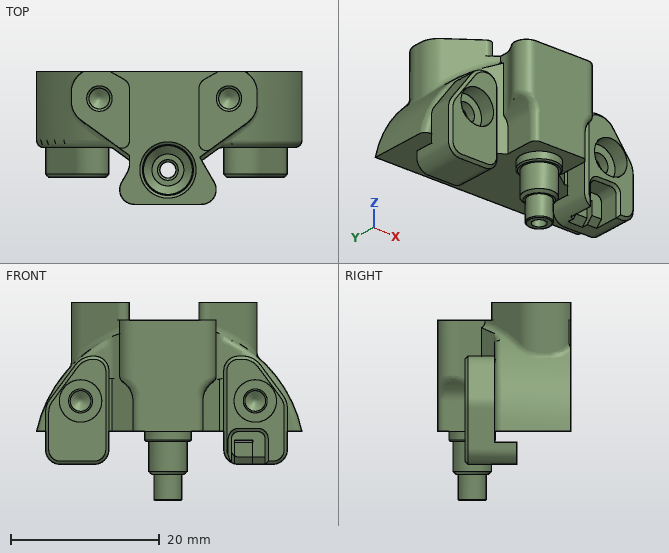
import cadquery as cq
import math

BACK_Y = 13.25
HEAD_FRONT_Y = -4.65
BLOCK_TOP = 14.95
TOWER_TOP = 17.35
FINE_CHAMFER = 0.43
DRILL_POINT_ANGLE = 118

ARCH_CENTRE_X = 0.18
ARCH_HALF_SPAN = 17.85
ARCH_RISE = 14.43
ARCH_FRONT_Y = 3.0
SHOULDER_FRONT_Y = 1.07
ARCH_FILLET = 1.0

TOWER_CENTRE_X = -0.5
TOWER_HALF_SPAN = 12.5
TOWER_INNER = 4.68
TOWER_RADIUS = 3.2
TOWER_REAR_ARC_Y = 10.43
LEFT_FRONT_ARC_Y = 9.3
RIGHT_FRONT_ARC_Y = 8.95
TOWER_REAR_INNER = 7.3
TOWER_BEVEL_Y = 11.8
TOWER_BEVEL_RADIUS = 1.43
TOWER_TIP_RADIUS = 1.0
FLANK_ANGLE = 36
SHOULDER_STEP = 0.55
TOWER_HOLE_OFFSET = 8.7
TOWER_HOLE_Y = 9.6
TOWER_HOLE_DEPTH = 7.15
TOWER_HOLE_CHAMFER = 0.32

HEAD_RADIUS = 2.0
HEAD_HALF_WIDTH = 6.5
HEAD_SIDE_ANGLE = 60
LEFT_NECK_WALL_X = -5.18
LEFT_NECK_RADIUS = 2.5
RELIEF_HALF_WIDTH = 4.7
RELIEF_TOP = 7.15
RELIEF_RADIUS = 3.0
RELIEF_EDGE_FILLET = 1.0
RELIEF_ROUNDED_TO_Y = 0.7

COLLAR_DIAMETER, COLLAR_END, COLLAR_CHAMFER = 6.3, -1.35, 0.2
SHANK_DIAMETER, SHANK_END, SHANK_CHAMFER = 5.2, -5.8, 0.43
TIP_DIAMETER, TIP_END, TIP_CHAMFER = 3.8, -9.3, 0.15

MOUTH_DIAMETER, MOUTH_CHAMFER = 7.57, 0.35
THROAT_DIAMETER, THROAT_TAPER = 6.85, 0.4
BORE_DIAMETER = 6.57
SEAT_DIAMETER, SEAT_Z = 4.3, 1.0
LOWER_MOUTH_DIAMETER, THROUGH_DIAMETER = 2.8, 2.15

PAD_FRONT_Y = -1.0
PAD_THICKNESS = ARCH_FRONT_Y - PAD_FRONT_Y
PAD_TOP, PAD_BOTTOM = 10.15, -4.43
LEFT_PAD_OUTER, LEFT_PAD_INNER = -16.45, -7.93
RIGHT_PAD_OUTER, RIGHT_PAD_INNER = 16.07, 7.5
PAD_SHOULDER_X = 11.57
PAD_SLOPE_ANGLE = 53.5
PAD_SLOPE_RADIUS = 3.0
PAD_CORNER_RADIUS = 2.0
FOOT_LENGTH = 3.0
FOOT_TOP = -1.43
SCREW_X, SCREW_Z = 11.75, 4.1
SCREW_CLEARANCE, SCREW_CORE = 3.2, 2.8
SCREW_DEPTH = 5.7
COUNTERBORE_DIAMETER, COUNTERBORE_DEPTH = 5.7, 2.5

NOTCH_X0, NOTCH_X1, NOTCH_TOP, NOTCH_RADIUS = 8.55, 13.07, 0.0, 1.0
NOTCH_FLOOR_Y = 2.5
SLOT_X0, SLOT_X1, SLOT_TOP = 8.95, 11.4, -1.18
SLOT_FLOOR_Y = 3.5
RECESS_CHAMFER = 1.0

MARGIN = 3.57


def slab_xy(outline, z0, z1):
    """Prism from a closed XY outline between two heights."""
    return outline.extrude(z1 - z0).translate((0, 0, z0))


def box(x0, x1, y0, y1, z0, z1):
    return cq.Workplane("XY").box(x1 - x0, y1 - y0, z1 - z0, centered=False).translate((x0, y0, z0))


def drill(diameter, depth):
    """Blind hole cutter along -Z from the origin, with a conical bottom."""
    radius = diameter / 2
    point = radius / math.tan(math.radians(DRILL_POINT_ANGLE / 2))
    profile = [(0, 0), (radius, 0), (radius, -depth), (0, -depth - point)]
    return cq.Workplane("XZ").polyline(profile).close().revolve(360, (0, 0), (0, 1))


def front_arc_y(side):
    return RIGHT_FRONT_ARC_Y if side > 0 else LEFT_FRONT_ARC_Y


def flank_start(side):
    """Outer end of a tower flank, where it leaves the front arc."""
    angle = math.radians(FLANK_ANGLE)
    from_centre = TOWER_HALF_SPAN - TOWER_RADIUS + TOWER_RADIUS * math.sin(angle)
    return TOWER_CENTRE_X + side * from_centre, front_arc_y(side) - TOWER_RADIUS * math.cos(angle)


def flank_y(side, x, step):
    """Y of a flank at x, with the flank moved out by step."""
    angle = math.radians(FLANK_ANGLE)
    start_x, start_y = flank_start(side)
    return start_y - step / math.cos(angle) - side * (start_x - x) * math.tan(angle)


def head_side_start(side):
    """Front end of the head's sloped side, where it leaves the corner arc."""
    angle = math.radians(HEAD_SIDE_ANGLE)
    x = HEAD_HALF_WIDTH - HEAD_RADIUS + HEAD_RADIUS * math.sin(angle)
    return side * x, HEAD_FRONT_Y + HEAD_RADIUS + HEAD_RADIUS * math.cos(angle)


def right_neck(step):
    """Where the right flank, moved out by step, meets the head's sloped side."""
    head_x, head_y = head_side_start(1)
    head_slope = math.tan(math.radians(HEAD_SIDE_ANGLE))
    flank_slope = math.tan(math.radians(FLANK_ANGLE))
    x = (head_y + head_slope * head_x - flank_y(1, 0, step)) / (head_slope + flank_slope)
    return x, flank_y(1, x, step)


def left_neck_corner():
    """Where the left neck wall meets the head's sloped side, before rounding."""
    head_x, head_y = head_side_start(-1)
    return LEFT_NECK_WALL_X, head_y + (LEFT_NECK_WALL_X - head_x) * math.tan(math.radians(HEAD_SIDE_ANGLE))


def tower_outline(side, inner_x):
    """Tower plan on one side, closed along inner_x."""
    def at(x, y):
        return TOWER_CENTRE_X + side * x, y

    arc_x = TOWER_HALF_SPAN - TOWER_RADIUS
    back = BACK_Y - TOWER_REAR_ARC_Y
    back_x = arc_x + math.sqrt(TOWER_RADIUS**2 - back**2)
    rear = math.asin(back / TOWER_RADIUS) / 2
    front = math.radians(90 - FLANK_ANGLE) / 2
    arc_y = front_arc_y(side)
    tip_y = flank_y(side, TOWER_CENTRE_X + side * inner_x, 0)
    return (
        cq.Workplane("XY")
        .moveTo(*at(TOWER_REAR_INNER, BACK_Y))
        .lineTo(*at(back_x, BACK_Y))
        .threePointArc(
            at(arc_x + TOWER_RADIUS * math.cos(rear), TOWER_REAR_ARC_Y + TOWER_RADIUS * math.sin(rear)),
            at(TOWER_HALF_SPAN, TOWER_REAR_ARC_Y),
        )
        .lineTo(*at(TOWER_HALF_SPAN, arc_y))
        .threePointArc(
            at(arc_x + TOWER_RADIUS * math.cos(front), arc_y - TOWER_RADIUS * math.sin(front)),
            flank_start(side),
        )
        .lineTo(*at(inner_x, tip_y))
        .lineTo(*at(inner_x, TOWER_BEVEL_Y))
        .close()
    )


def tower(side):
    body = slab_xy(tower_outline(side, TOWER_INNER), 0, TOWER_TOP)
    inner_x = TOWER_CENTRE_X + side * TOWER_INNER

    def inner_edge(low_y, high_y):
        return cq.selectors.BoxSelector((inner_x - 0.05, low_y, -0.35), (inner_x + 0.05, high_y, TOWER_TOP + 0.35))

    body = body.edges("|Z").edges(inner_edge(TOWER_BEVEL_Y - 0.35, BACK_Y)).fillet(TOWER_BEVEL_RADIUS)
    return body.edges("|Z").edges(inner_edge(0, TOWER_REAR_ARC_Y)).fillet(TOWER_TIP_RADIUS)


def head_prism(step, outer_points, z0, z1):
    """Prism of head and neck; outer_points(side) lead from a flank round to the back."""
    corner_x = HEAD_HALF_WIDTH - HEAD_RADIUS
    arc_middle = math.radians(180 - HEAD_SIDE_ANGLE) / 2
    mid_x = corner_x + HEAD_RADIUS * math.sin(arc_middle)
    mid_y = HEAD_FRONT_Y + HEAD_RADIUS - HEAD_RADIUS * math.cos(arc_middle)
    left_wall_end = (LEFT_NECK_WALL_X, flank_y(-1, LEFT_NECK_WALL_X, step))
    edge_points = [right_neck(step), *outer_points(1), *reversed(outer_points(-1)), left_wall_end]
    outline = (
        cq.Workplane("XY")
        .moveTo(-corner_x, HEAD_FRONT_Y)
        .lineTo(corner_x, HEAD_FRONT_Y)
        .threePointArc((mid_x, mid_y), head_side_start(1))
        .polyline([*edge_points, left_neck_corner(), head_side_start(-1)], includeCurrent=True)
        .threePointArc((-mid_x, mid_y), (-corner_x, HEAD_FRONT_Y))
        .close()
    )
    x, y = left_neck_corner()
    neck_edge = cq.selectors.BoxSelector((x - 0.05, y - 0.05, z0 - 0.35), (x + 0.05, y + 0.05, z1 + 0.35))
    return slab_xy(outline, z0, z1).edges("|Z").edges(neck_edge).fillet(LEFT_NECK_RADIUS)


def block():
    """Full-height middle with the head, and the towers on top of it."""
    def outer_points(side):
        x, y = flank_start(side)
        return [(x, y), (x, BACK_Y)]

    body = head_prism(0, outer_points, 0, BLOCK_TOP)
    for side in (-1, 1):
        body = body.union(tower(side))
    return body


def shoulder_flank_end(side):
    """Where the proud flank of the shoulder reaches the arch's front face."""
    run = (ARCH_FRONT_Y - flank_y(side, 0, SHOULDER_STEP)) / math.tan(math.radians(FLANK_ANGLE))
    return side * run, ARCH_FRONT_Y


def shoulder_prism():
    """Plan of the whole housing, with the shoulder proud of the tower flanks."""
    def outer_points(side):
        end_x = ARCH_CENTRE_X + side * (ARCH_HALF_SPAN + MARGIN)
        return [shoulder_flank_end(side), (end_x, ARCH_FRONT_Y), (end_x, BACK_Y)]

    return head_prism(SHOULDER_STEP, outer_points, -MARGIN, TOWER_TOP + MARGIN)


def arch():
    x0, x1 = ARCH_CENTRE_X - ARCH_HALF_SPAN, ARCH_CENTRE_X + ARCH_HALF_SPAN
    return (
        cq.Workplane("XZ", origin=(0, BACK_Y, 0))
        .moveTo(x0, 0)
        .threePointArc((ARCH_CENTRE_X, ARCH_RISE), (x1, 0))
        .close()
        .extrude(BACK_Y - HEAD_FRONT_Y + MARGIN)
    )


def shoulder():
    """Arch carrying the foot of both tower flanks, with its fillets, trimmed to the plan."""
    middle_back = box(-TOWER_HOLE_OFFSET, TOWER_HOLE_OFFSET, LEFT_FRONT_ARC_Y, BACK_Y, 0, BLOCK_TOP)
    body = arch().union(middle_back)
    for side in (-1, 1):
        body = body.union(slab_xy(tower_outline(side, 0), 0, BLOCK_TOP))
    reach = ARCH_HALF_SPAN + MARGIN
    body = body.intersect(box(-reach, reach, SHOULDER_FRONT_Y, BACK_Y, 0, BLOCK_TOP))
    junction = [
        edge for edge in body.edges("not(|X or |Y or |Z)").vals()
        if edge.BoundingBox().ylen > 0.35 and edge.BoundingBox().zlen > 0.35 and abs(edge.Center().x) > TOWER_INNER
    ]
    body = body.newObject(junction).fillet(ARCH_FILLET).intersect(shoulder_prism())
    front = cq.selectors.BoxSelector((-reach, ARCH_FRONT_Y - 0.05, -0.35), (reach, ARCH_FRONT_Y + 0.05, BLOCK_TOP))
    rim = body.edges(front).edges("%CIRCLE").vals()
    corners = body.edges(front).edges("|Z").vals()
    return body.newObject(rim + corners).fillet(ARCH_FILLET)


def relief(side):
    """Clearance cutter beside the lower head, rounded under its roof."""
    wall = side * RELIEF_HALF_WIDTH
    outer = side * (HEAD_HALF_WIDTH + MARGIN)
    turn = RELIEF_RADIUS * math.sin(math.radians(45))
    centre_x = wall + side * RELIEF_RADIUS
    centre_z = RELIEF_TOP - RELIEF_RADIUS
    tool = (
        cq.Workplane("XZ", origin=(0, ARCH_FRONT_Y, 0))
        .moveTo(wall, -MARGIN)
        .lineTo(wall, centre_z)
        .threePointArc((centre_x - side * turn, centre_z + turn), (centre_x, RELIEF_TOP))
        .lineTo(outer, RELIEF_TOP)
        .lineTo(outer, -MARGIN)
        .close()
        .extrude(ARCH_FRONT_Y - HEAD_FRONT_Y + MARGIN)
    )
    flank = [(0, flank_y(side, 0, SHOULDER_STEP)), shoulder_flank_end(side), (0, ARCH_FRONT_Y)]
    return tool.cut(slab_xy(cq.Workplane("XY").polyline(flank).close(), -MARGIN, RELIEF_TOP))


def relieve_head(body):
    """Undercut both sides of the lower head and round the edges this leaves."""
    for side in (-1, 1):
        body = body.cut(relief(side))
    edges = [
        edge for edge in body.edges().vals()
        if edge.BoundingBox().zmax < RELIEF_TOP + 0.05
        and edge.BoundingBox().zlen > 0.35
        and edge.BoundingBox().ymax < RELIEF_ROUNDED_TO_Y
    ]
    return body.newObject(edges).fillet(RELIEF_EDGE_FILLET)


def pin_step(diameter, end, chamfer):
    return cq.Workplane("XY").circle(diameter / 2).extrude(end).faces("<Z").chamfer(chamfer)


def bore():
    """Stepped bore through head and pin, turned about the pin axis."""
    mouth_z = BLOCK_TOP - MOUTH_CHAMFER
    lower_radius, through_radius = LOWER_MOUTH_DIAMETER / 2, THROUGH_DIAMETER / 2
    seat_step = (BORE_DIAMETER - SEAT_DIAMETER) / 2
    profile = [
        (0, BLOCK_TOP),
        (MOUTH_DIAMETER / 2, BLOCK_TOP),
        (THROAT_DIAMETER / 2, mouth_z),
        (BORE_DIAMETER / 2, mouth_z - THROAT_TAPER),
        (BORE_DIAMETER / 2, SEAT_Z + seat_step),
        (SEAT_DIAMETER / 2, SEAT_Z),
        (lower_radius, SEAT_Z),
        (through_radius, SEAT_Z - (lower_radius - through_radius)),
        (through_radius, TIP_END - MARGIN),
        (0, TIP_END - MARGIN),
    ]
    return cq.Workplane("XZ").polyline(profile).close().revolve(360, (0, 0), (0, 1))


def tower_hole(side):
    """Blind hole with a 45 degree mouth; the taper stops just short of a sharp apex."""
    top_radius = SCREW_CORE / 2 + TOWER_HOLE_CHAMFER
    mouth = cq.Workplane("XY").circle(top_radius).extrude(-top_radius, taper=45 - 1e-3)
    place = (TOWER_CENTRE_X + side * TOWER_HOLE_OFFSET, TOWER_HOLE_Y, TOWER_TOP)
    return drill(SCREW_CORE, TOWER_HOLE_DEPTH).union(mouth).translate(place)


def pad_screw_hole(side):
    hole = drill(SCREW_CORE, SCREW_DEPTH).rotate((0, 0, 0), (1, 0, 0), 90)
    return hole.translate((side * SCREW_X, ARCH_FRONT_Y, SCREW_Z))


def make_housing():
    body = relieve_head(block().union(shoulder()))
    for step in (
        (COLLAR_DIAMETER, COLLAR_END, COLLAR_CHAMFER),
        (SHANK_DIAMETER, SHANK_END, SHANK_CHAMFER),
        (TIP_DIAMETER, TIP_END, TIP_CHAMFER),
    ):
        body = body.union(pin_step(*step))
    body = body.cut(bore())
    for side in (-1, 1):
        body = body.cut(tower_hole(side)).cut(pad_screw_hole(side))
    return body


def pad_prism(side, outer, inner, y0, y1):
    """Rounded pad outline as a prism along Y."""
    knee_x = side * PAD_SHOULDER_X
    knee_z = PAD_TOP - abs(outer - knee_x) * math.tan(math.radians(PAD_SLOPE_ANGLE))
    outline = [
        (inner, PAD_BOTTOM),
        (outer, PAD_BOTTOM),
        (outer, knee_z),
        (knee_x, PAD_TOP),
        (inner, PAD_TOP),
    ]
    body = cq.Workplane("XZ", origin=(0, y1, 0)).polyline(outline).close().extrude(y1 - y0)

    def corner_edge(x, z):
        return cq.selectors.BoxSelector((x - 0.05, y0 - 0.35, z - 0.05), (x + 0.05, y1 + 0.35, z + 0.05))

    slope_ends = corner_edge(outer, knee_z) + corner_edge(knee_x, PAD_TOP)
    body = body.edges("|Y").edges(slope_ends).fillet(PAD_SLOPE_RADIUS)
    corners = corner_edge(inner, PAD_BOTTOM) + corner_edge(outer, PAD_BOTTOM) + corner_edge(inner, PAD_TOP)
    return body.edges("|Y").edges(corners).fillet(PAD_CORNER_RADIUS)


def make_pad(side, outer, inner):
    """Counterbored pad with a foot that reaches back under the housing."""
    foot_end = ARCH_FRONT_Y + FOOT_LENGTH
    body = pad_prism(side, outer, inner, PAD_FRONT_Y, foot_end)
    low_x, high_x = min(outer, inner) - MARGIN, max(outer, inner) + MARGIN
    body = body.cut(box(low_x, high_x, ARCH_FRONT_Y, foot_end, FOOT_TOP, PAD_TOP))
    body = body.faces("<Y").chamfer(FINE_CHAMFER)
    screw = cq.Workplane("XZ", origin=(side * SCREW_X, PAD_FRONT_Y, SCREW_Z))
    body = body.cut(screw.circle(SCREW_CLEARANCE / 2).extrude(-PAD_THICKNESS))
    return body.cut(screw.circle(COUNTERBORE_DIAMETER / 2).extrude(-COUNTERBORE_DEPTH))


def right_pad_floor(floor_y):
    """Material that stays behind a recess: pad outline with a chamfered front edge."""
    core = pad_prism(1, RIGHT_PAD_OUTER, RIGHT_PAD_INNER, floor_y, ARCH_FRONT_Y + FOOT_LENGTH)
    return core.faces("<Y").chamfer(RECESS_CHAMFER)


def notch():
    """Round-topped recess with a flared rim, open at the pad's lower edge."""
    low = PAD_BOTTOM - MARGIN
    tool = box(NOTCH_X0, NOTCH_X1, PAD_FRONT_Y, NOTCH_FLOOR_Y + RECESS_CHAMFER, low, NOTCH_TOP)
    tool = tool.edges("|Y and >Z").fillet(NOTCH_RADIUS)
    flare = tool.faces("<Y").wires().toPending().workplane().offset2D(FINE_CHAMFER)
    flare = flare.extrude(-2 * FINE_CHAMFER, taper=45)
    return tool.union(flare).cut(right_pad_floor(NOTCH_FLOOR_Y))


def slot():
    low = PAD_BOTTOM - MARGIN
    tool = box(SLOT_X0, SLOT_X1, PAD_FRONT_Y, SLOT_FLOOR_Y + RECESS_CHAMFER, low, SLOT_TOP)
    return tool.cut(right_pad_floor(SLOT_FLOOR_Y))


housing = make_housing()
left_pad = make_pad(-1, LEFT_PAD_OUTER, LEFT_PAD_INNER)
right_pad = make_pad(1, RIGHT_PAD_OUTER, RIGHT_PAD_INNER).cut(notch()).cut(slot())

result = cq.Compound.makeCompound([housing.val(), left_pad.val(), right_pad.val()])